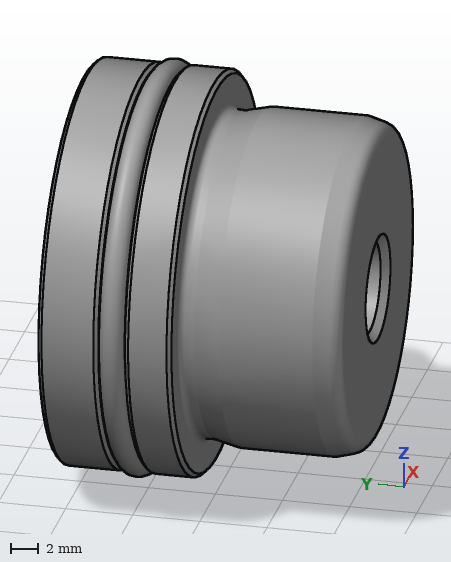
import cadquery as cq
import math

total_length = 21.9
flange_front = 12.0
neck_front = 10.9
nose_back = 9.0
lead_in_end = 2.0

flange_radius = 14.9
nose_radius = 12.45
neck_radius = 12.0
ring_outer_radius = 15.255

flange_chamfer = 0.3
neck_fillet = 0.5
nose_fillet = 1.0
lead_in_angle = math.radians(15)

ring_center = 16.5
ring_tube_radius = 0.93
ring_squeeze = 0.05
groove_front = 15.45
groove_width = 2.0

hole_radius = 3.4
hole_mouth_radius = 4.0
hole_depth = 14.0
hole_tip_angle = math.radians(118)


def revolve_about_y(profile):
    """Turn a closed (radius, Y) profile through a full circle about the Y axis."""
    return profile.close().revolve(360, (0, 0, 0), (0, 1, 0))


def make_nose():
    """Tapered and rounded nose with a necked-in shoulder, reaching into the flange."""
    fillet_end_y = nose_fillet * (1 - math.sin(lead_in_angle))
    fillet_end_radius = nose_radius - (lead_in_end - fillet_end_y) * math.tan(lead_in_angle)
    fillet_center_radius = fillet_end_radius - nose_fillet * math.cos(lead_in_angle)
    mid_angle = (math.pi / 2 + lead_in_angle) / 2
    fillet_mid = (
        fillet_center_radius + nose_fillet * math.cos(mid_angle),
        nose_fillet * (1 - math.sin(mid_angle)),
    )
    neck_mid_offset = neck_fillet * (1 - math.sqrt(0.5))
    profile = (
        cq.Workplane("XY")
        .lineTo(fillet_center_radius, 0)
        .threePointArc(fillet_mid, (fillet_end_radius, fillet_end_y))
        .lineTo(nose_radius, lead_in_end)
        .lineTo(nose_radius, nose_back)
        .lineTo(neck_radius, neck_front)
        .lineTo(neck_radius, flange_front - neck_fillet)
        .threePointArc(
            (neck_radius + neck_mid_offset, flange_front - neck_mid_offset),
            (neck_radius + neck_fillet, flange_front),
        )
        .lineTo(0, flange_front)
    )
    return revolve_about_y(profile)


def make_chamfered_disc(front, back):
    """Flange disc between two Y positions, chamfered on both rims."""
    rim = flange_radius - flange_chamfer
    profile = (
        cq.Workplane("XY")
        .moveTo(0, front)
        .lineTo(rim, front)
        .lineTo(flange_radius, front + flange_chamfer)
        .lineTo(flange_radius, back - flange_chamfer)
        .lineTo(rim, back)
        .lineTo(0, back)
    )
    return revolve_about_y(profile)


def make_flange():
    """Two chamfered discs joined by the floor of the ring groove."""
    groove_back = groove_front + groove_width
    floor_radius = ring_outer_radius - 2 * ring_tube_radius + ring_squeeze
    groove_floor = (
        cq.Workplane("XZ", origin=(0, groove_front, 0))
        .circle(floor_radius)
        .extrude(-groove_width)
    )
    front_disc = make_chamfered_disc(flange_front, groove_front)
    back_disc = make_chamfered_disc(groove_back, total_length)
    return front_disc.union(groove_floor).union(back_disc)


def make_ring():
    """Round-section sealing ring; its seam lies on the inner side, against the groove floor."""
    section_radius = ring_outer_radius - ring_tube_radius
    section_plane = cq.Plane(origin=(section_radius, ring_center, 0), xDir=(-1, 0, 0), normal=(0, 0, 1))
    return (
        cq.Workplane(section_plane)
        .circle(ring_tube_radius)
        .revolve(360, (section_radius, 0, 0), (section_radius, 1, 0))
    )


def make_hole():
    """Blind drilled hole with a chamfered mouth and a conical tip."""
    tip_length = hole_radius / math.tan(hole_tip_angle / 2)
    profile = (
        cq.Workplane("XY")
        .lineTo(hole_mouth_radius, 0)
        .lineTo(hole_radius, hole_mouth_radius - hole_radius)
        .lineTo(hole_radius, hole_depth)
        .lineTo(0, hole_depth + tip_length)
    )
    return revolve_about_y(profile)


result = make_nose().union(make_flange()).union(make_ring()).cut(make_hole())